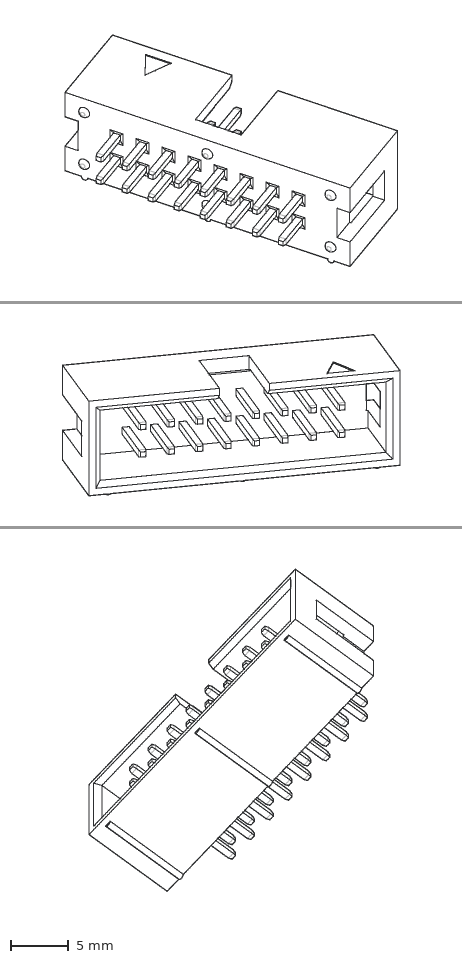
import cadquery as cq


BODY_LENGTH = 27.82
BODY_DEPTH = 8.8
BODY_HEIGHT = 8.8
WALL = 1.15
CAVITY_FLOOR = 2.36
LEAD_IN = 0.5

KEY_WIDTH = 4.45
KEY_FLOOR = 2.0

WINDOW_HEIGHT = 3.28
WINDOW_END = 6.4
CUT_DEPTH = 1.28

PIN_COLUMNS = 8
PIN_ROW_LENGTH = 17.78
PIN_PITCH = PIN_ROW_LENGTH / (PIN_COLUMNS - 1)
PIN_SIZE = 0.65
PIN_POINT_SIZE = 0.47
PIN_POINT_LENGTH = 0.33
PIN_TAIL_END = -3.3
PIN_CONTACT_END = 8.23

RECESS_SIZE = 1.28
RECESS_DEPTH = 0.1

STANDOFF_X = 12.02
STANDOFF_Z = 2.9
STANDOFF_DIAMETER = 1.03
STANDOFF_HEIGHT = 0.3
RIB_RADIUS = 0.3
RIB_LENGTH = 8.23

MARK_SIZE = 2.5
MARK_BASE = 7.8
MARK_DEPTH = 0.1

column_positions = [PIN_PITCH * i - PIN_ROW_LENGTH / 2 for i in range(PIN_COLUMNS)]
pin_positions = [(x, z) for x in column_positions for z in (-PIN_PITCH / 2, PIN_PITCH / 2)]
support_positions = (-STANDOFF_X, 0, STANDOFF_X)


def block(x_range, y_range, z_range):
    """Box spanning the given coordinate ranges."""
    ranges = (x_range, y_range, z_range)
    sizes = [high - low for low, high in ranges]
    corner = [low for low, high in ranges]
    return cq.Workplane("XY").box(*sizes, centered=False).translate(tuple(corner))


def tapered_block(start_size, end_size, start_y, end_y):
    """Pyramid frustum along Y; each size is an (X, Z) pair."""
    return (
        cq.Workplane("XZ", origin=(0, start_y, 0))
        .rect(*start_size)
        .workplane(offset=start_y - end_y)
        .rect(*end_size)
        .loft(ruled=True)
    )


def make_housing():
    """Box with an open cavity, a lead-in around its rim, a key slot and end windows."""
    half_length = BODY_LENGTH / 2
    half_height = BODY_HEIGHT / 2
    cavity_x = half_length - WALL
    cavity_z = half_height - WALL
    housing = block((-half_length, half_length), (0, BODY_DEPTH), (-half_height, half_height))
    housing = housing.cut(
        block((-cavity_x, cavity_x), (CAVITY_FLOOR, BODY_DEPTH), (-cavity_z, cavity_z))
    )
    throat = (2 * cavity_x, 2 * cavity_z)
    mouth = tuple(size + 2 * LEAD_IN for size in throat)
    housing = housing.cut(tapered_block(throat, mouth, BODY_DEPTH - LEAD_IN, BODY_DEPTH))
    housing = housing.cut(
        block(
            (-KEY_WIDTH / 2, KEY_WIDTH / 2),
            (KEY_FLOOR, BODY_DEPTH),
            (half_height - CUT_DEPTH, half_height),
        )
    )
    window_z = (-WINDOW_HEIGHT / 2, WINDOW_HEIGHT / 2)
    window = block((-half_length, CUT_DEPTH - half_length), (0, WINDOW_END), window_z)
    return housing.cut(window).cut(window.mirror("YZ"))


def make_pin_recess():
    """Square funnel in the mounting face, narrowing to the pin."""
    return tapered_block((RECESS_SIZE, RECESS_SIZE), (PIN_SIZE, PIN_SIZE), 0, RECESS_DEPTH)


def make_pin():
    """Square pin with a blunt point at both ends."""
    half = PIN_SIZE / 2
    shank_start = PIN_TAIL_END + PIN_POINT_LENGTH
    shank_end = PIN_CONTACT_END - PIN_POINT_LENGTH
    shank_section = (PIN_SIZE, PIN_SIZE)
    point_section = (PIN_POINT_SIZE, PIN_POINT_SIZE)
    shank = block((-half, half), (shank_start, shank_end), (-half, half))
    tail_point = tapered_block(shank_section, point_section, shank_start, PIN_TAIL_END)
    contact_point = tapered_block(shank_section, point_section, shank_end, PIN_CONTACT_END)
    return shank.union(tail_point).union(contact_point)


def make_standoff():
    """Round button on the mounting face with a fully rounded edge."""
    radius = STANDOFF_DIAMETER / 2
    flat_radius = radius - STANDOFF_HEIGHT
    return (
        cq.Workplane("XY")
        .lineTo(radius, 0)
        .radiusArc((flat_radius, -STANDOFF_HEIGHT), STANDOFF_HEIGHT)
        .lineTo(0, -STANDOFF_HEIGHT)
        .close()
        .revolve(360, (0, 0, 0), (0, 1, 0))
    )


def make_rib():
    """Rib along Y, half of it buried in the underside of the body."""
    return (
        cq.Workplane("XZ", origin=(0, 0, -BODY_HEIGHT / 2))
        .circle(RIB_RADIUS)
        .extrude(-RIB_LENGTH)
    )


def make_pin_one_mark():
    """Triangle sunk into the top face, pointing at the first pin."""
    return (
        cq.Workplane("XY", origin=(column_positions[0], MARK_BASE, BODY_HEIGHT / 2))
        .polyline([(-MARK_SIZE / 2, 0), (MARK_SIZE / 2, 0), (0, -MARK_SIZE)])
        .close()
        .extrude(-MARK_DEPTH)
    )


result = make_housing().cut(make_pin_one_mark())

pin_recess = make_pin_recess()
pin = make_pin()
for x, z in pin_positions:
    result = result.cut(pin_recess.translate((x, 0, z)))
    result = result.union(pin.translate((x, 0, z)))

standoff = make_standoff()
rib = make_rib()
for x in support_positions:
    result = result.union(rib.translate((x, 0, 0)))
    for z in (-STANDOFF_Z, STANDOFF_Z):
        result = result.union(standoff.translate((x, 0, z)))